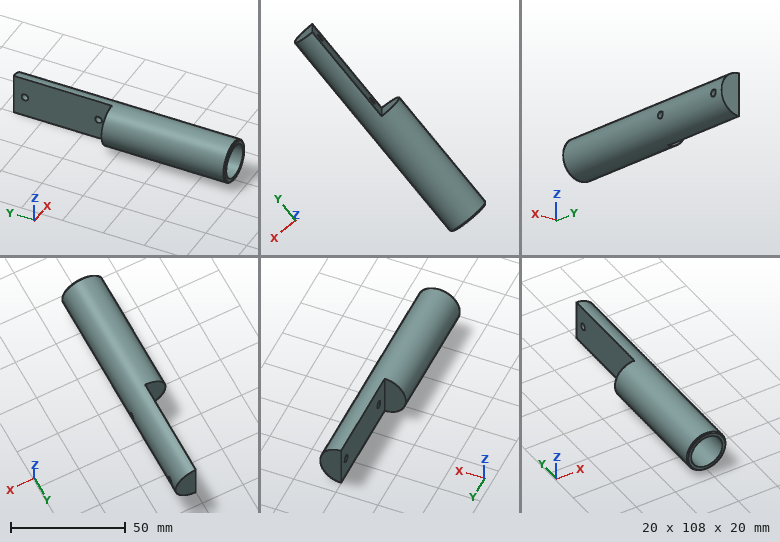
import cadquery as cq
import math

length = 108.0
diameter = 20.0
edge_chamfer = 0.5

bore_diameter = 16.0
bore_depth = 50.0
drill_tip_angle = 118.0

tongue_length = 48.0
hole_diameter = 3.2
end_hole_margin = 5.5
hole_spacing = 36.0

radius = diameter / 2
bore_radius = bore_diameter / 2
front_y = -length / 2
back_y = length / 2
step_y = back_y - tongue_length


def make_bar():
    """Solid round bar with a chamfered rim at the socket end."""
    bar = cq.Workplane("XZ", origin=(0, back_y, 0)).circle(radius).extrude(length)
    return bar.faces("<Y").edges().chamfer(edge_chamfer)


def make_bore():
    """Blind bore whose bottom is a drill-point cone."""
    tip_length = bore_radius / math.tan(math.radians(drill_tip_angle / 2))
    bore_end_y = front_y + bore_depth
    profile = (
        cq.Workplane("XY")
        .moveTo(0, front_y)
        .lineTo(bore_radius, front_y)
        .lineTo(bore_radius, bore_end_y)
        .lineTo(0, bore_end_y + tip_length)
        .close()
    )
    return profile.revolve(360, (0, 0, 0), (0, 1, 0))


def make_tongue_cut():
    """Block that removes the -X half of the bar along the tongue."""
    return cq.Workplane("XY").box(radius, tongue_length, diameter).translate(
        (-radius / 2, step_y + tongue_length / 2, 0)
    )


def make_tongue_holes():
    """Two mounting holes through the tongue along X."""
    end_hole_y = back_y - end_hole_margin
    return (
        cq.Workplane("YZ")
        .pushPoints([(end_hole_y, 0), (end_hole_y - hole_spacing, 0)])
        .circle(hole_diameter / 2)
        .extrude(radius)
    )


result = make_bar().cut(make_bore()).cut(make_tongue_cut()).cut(make_tongue_holes())